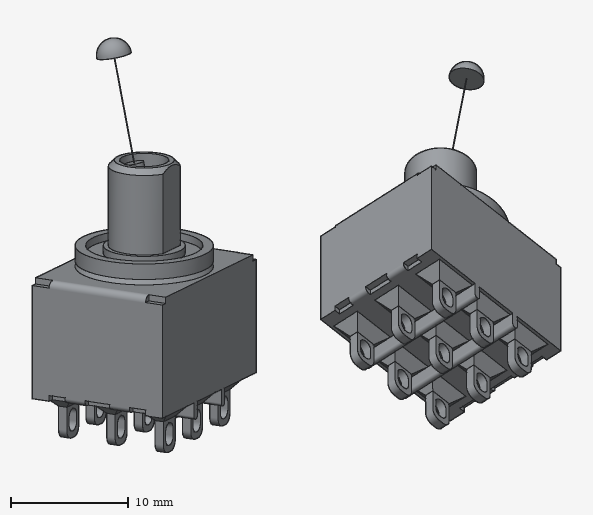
import cadquery as cq
import math


TOTAL_HEIGHT = 34.35
RIB_BOTTOM = 2.47
PYRAMID_BOTTOM = 2.92
CASE_BOTTOM = 4.0
COVER_BOTTOM = 4.5
CORNER_TOP = 14.02
CASE_TOP = 14.57
WASHER_BOTTOM = 15.05
RECESS_FLOOR = 15.75
WASHER_TOP = 16.42
PIVOT_HEIGHT = 18.95
BUSHING_TOP = 24.0

CASE_LENGTH_X = 12.7
CASE_LENGTH_Y = 16.53
COVER_WIDTH = 9.4
COVER_THICKNESS = 0.6
COVER_BEND = 0.62
CORNER_WIDTH = (CASE_LENGTH_X - COVER_WIDTH) / 2
TAB_WIDTH = 1.95
TAB_CENTER = 2.15
TAB_BEND = 0.4

LUG_PITCH_X = 4.7
LUG_PITCH_Y = 4.8
LUG_COUNT = 3
LUG_THICKNESS = 0.82
LUG_WIDTH = 2.1
LUG_CORNER_RADIUS = 0.82
EYE_WIDTH = 1.3
EYE_HEIGHT = 2.0
EYE_CENTER = 1.58
PYRAMID_TOP_X = 2.7
PYRAMID_TOP_Y = 4.23
RIB_THICKNESS = 0.6
RIB_EDGE_RADIUS = 0.27

SEAL_TOP_DIAMETER = 11.27
WASHER_DIAMETER = 11.82
RECESS_DIAMETER = 10.0
COLLAR_DIAMETER = 7.0
BUSHING_DIAMETER = 6.15
BUSHING_CHAMFER = 0.5
BUSHING_FLAT_X = 2.68
BORE_DIAMETER = 4.2

LEVER_TILT = 12.0
BALL_DIAMETER = 4.12
SOCKET_DIAMETER = 2.3
SOCKET_FLOOR = 0.95
PIN_DIAMETER = 1.65
PIN_LENGTH = 4.75
TIP_DIAMETER = 3.02
ROD_DIAMETER = 0.07


def upright_box(size_x, size_y, bottom, top, x=0.0, y=0.0):
    """Box centred on (x, y) between two heights."""
    box = cq.Workplane("XY").box(size_x, size_y, top - bottom, centered=(True, True, False))
    return box.translate((x, y, bottom))


def upright_cylinder(diameter, bottom, top):
    """Cylinder on the Z axis between two heights."""
    return cq.Workplane("XY", origin=(0, 0, bottom)).circle(diameter / 2).extrude(top - bottom)


def centered_places(pitch):
    """Coordinates of one row of lugs, symmetric about zero."""
    return [(i - (LUG_COUNT - 1) / 2) * pitch for i in range(LUG_COUNT)]


def case():
    body = upright_box(CASE_LENGTH_X, CASE_LENGTH_Y, CASE_BOTTOM, CASE_TOP)
    body = body.faces(">Z").edges("|X").fillet(COVER_BEND)
    for side in (-1, 1):
        face_y = side * CASE_LENGTH_Y / 2
        edge_y = face_y - side * COVER_THICKNESS / 2

        for corner in (-1, 1):
            corner_x = corner * (COVER_WIDTH + CORNER_WIDTH) / 2
            body = body.cut(
                upright_box(CORNER_WIDTH, COVER_THICKNESS, CORNER_TOP, CASE_TOP, corner_x, edge_y)
            )

        body = body.cut(
            upright_box(COVER_WIDTH, COVER_THICKNESS, CASE_BOTTOM, COVER_BOTTOM, 0, edge_y)
        )
        outer_face = ">Y" if side > 0 else "<Y"
        for tab_x in (-TAB_CENTER, TAB_CENTER):
            tab = upright_box(TAB_WIDTH, COVER_THICKNESS, CASE_BOTTOM, COVER_BOTTOM, tab_x, edge_y)
            body = body.union(tab.faces(outer_face).edges("<Z").fillet(TAB_BEND))
    return body


def lug():
    """One eyelet lug hanging from its pyramid, centred on the Z axis."""
    blade = upright_box(LUG_THICKNESS, LUG_WIDTH, 0, CASE_BOTTOM)
    blade = blade.faces("<Z").edges("|X").fillet(LUG_CORNER_RADIUS)
    eye = (
        cq.Workplane("YZ", origin=(0, 0, EYE_CENTER))
        .slot2D(EYE_HEIGHT, EYE_WIDTH, 90)
        .extrude(LUG_THICKNESS, both=True)
    )
    pyramid = (
        cq.Workplane("XY", origin=(0, 0, PYRAMID_BOTTOM))
        .rect(LUG_THICKNESS, LUG_WIDTH)
        .workplane(offset=CASE_BOTTOM - PYRAMID_BOTTOM)
        .rect(PYRAMID_TOP_X, PYRAMID_TOP_Y)
        .loft()
    )
    return blade.cut(eye).union(pyramid)


def rib(y):
    """Barrier across the case bottom with a rounded lower edge."""
    bar = upright_box(CASE_LENGTH_X, RIB_THICKNESS, RIB_BOTTOM, CASE_BOTTOM, y=y)
    return bar.faces("<Z").edges("|X").fillet(RIB_EDGE_RADIUS)


def seal_and_washer():
    seal = (
        cq.Workplane("XY", origin=(0, 0, CASE_TOP))
        .circle(WASHER_DIAMETER / 2)
        .workplane(offset=WASHER_BOTTOM - CASE_TOP)
        .circle(SEAL_TOP_DIAMETER / 2)
        .loft()
    )
    washer = upright_cylinder(WASHER_DIAMETER, WASHER_BOTTOM, WASHER_TOP)
    recess = upright_cylinder(RECESS_DIAMETER, RECESS_FLOOR, WASHER_TOP)
    collar = upright_cylinder(COLLAR_DIAMETER, RECESS_FLOOR, WASHER_TOP)
    return seal.union(washer).cut(recess).union(collar)


def bushing():
    """Chamfered tube, flat on its +X side, closed below the ball's pivot."""
    tube = upright_cylinder(BUSHING_DIAMETER, WASHER_TOP, BUSHING_TOP)
    tube = tube.faces(">Z").chamfer(BUSHING_CHAMFER)
    tube = tube.cut(upright_cylinder(BORE_DIAMETER, PIVOT_HEIGHT, BUSHING_TOP))
    flat_depth = BUSHING_DIAMETER / 2 - BUSHING_FLAT_X
    flat_x = BUSHING_FLAT_X + flat_depth / 2
    return tube.cut(upright_box(flat_depth, BUSHING_DIAMETER, WASHER_TOP, BUSHING_TOP, flat_x))


def lever():
    """Ball, pin and domed tip on a tilted axis; a hair-thin rod keeps the tip attached to the pin."""
    tip_radius = TIP_DIAMETER / 2
    tip_distance = (TOTAL_HEIGHT - tip_radius - PIVOT_HEIGHT) / math.cos(math.radians(LEVER_TILT))
    ball_radius = BALL_DIAMETER / 2

    ball = cq.Workplane("XY").sphere(ball_radius)
    ball = ball.cut(upright_cylinder(SOCKET_DIAMETER, SOCKET_FLOOR, ball_radius))
    pin = upright_cylinder(PIN_DIAMETER, 0, PIN_LENGTH)
    rod = upright_cylinder(ROD_DIAMETER, 0, tip_distance + tip_radius / 2)
    tip = cq.Workplane("XY").sphere(tip_radius)
    tip = tip.intersect(upright_cylinder(TIP_DIAMETER, 0, tip_radius))
    tip = tip.translate((0, 0, tip_distance))

    tilted = ball.union(pin).union(rod).union(tip).rotate((0, 0, 0), (0, 1, 0), -LEVER_TILT)
    return tilted.translate((0, 0, PIVOT_HEIGHT))


result = case().union(seal_and_washer()).union(bushing()).union(lever())

for lug_x in centered_places(LUG_PITCH_X):
    for lug_y in centered_places(LUG_PITCH_Y):
        result = result.union(lug().translate((lug_x, lug_y, 0)))

for rib_y in (-LUG_PITCH_Y / 2, LUG_PITCH_Y / 2):
    result = result.union(rib(rib_y))